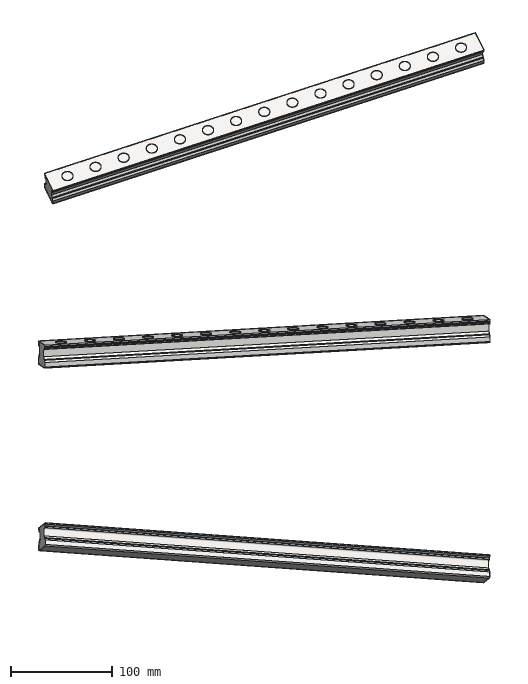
import cadquery as cq

length = 460.0
width = 23.0
height = 23.5

tip_half_width = width / 2
shoulder_half_width = 10.0
web_half_width = 7.5

foot_chamfer = 1.5
foot_side_top = 6.0
web_bottom = 11.0
head_underside = 19.0
head_tip_level = 22.0
head_root_radius = 1.5

groove_half_height = 0.5
groove_depth = 1.0
foot_groove_level = 8.5
head_groove_level = 20.5
foot_groove_half_width = web_half_width + web_bottom - (foot_groove_level + groove_half_height)

recess_count = 15
recess_diameter = 11.0
recess_depth = 0.5
end_margin_in_pitches = 2 / 3
recess_pitch = length / (recess_count - 1 + 2 * end_margin_in_pitches)


def groove(mouth_half_width, level):
    """Points of a V-groove, from its lower edge to its upper edge."""
    return [
        (mouth_half_width, level - groove_half_height),
        (mouth_half_width - groove_depth, level),
        (mouth_half_width, level + groove_half_height),
    ]


def make_rail():
    """Extrude one half of the section along Y and mirror it about the centre plane."""
    foot_points = [
        (0, 0),
        (tip_half_width - foot_chamfer, 0),
        (tip_half_width, foot_chamfer),
        (tip_half_width, foot_side_top),
        *groove(foot_groove_half_width, foot_groove_level),
        (web_half_width, web_bottom),
        (web_half_width, head_underside - head_root_radius),
    ]
    head_points = [
        (shoulder_half_width, head_underside),
        *groove(shoulder_half_width, head_groove_level),
        (tip_half_width, head_tip_level),
        (tip_half_width, height),
        (0, height),
    ]
    half_section = (
        cq.Workplane("XZ")
        .polyline(foot_points)
        .tangentArcPoint((web_half_width + head_root_radius, head_underside), relative=False)
        .polyline(head_points, includeCurrent=True)
        .close()
    )
    half_rail = half_section.extrude(length / 2, both=True)
    rail = half_rail.union(half_rail.mirror("YZ")).clean()
    return rail.translate((0, 0, -height / 2))


def cut_recesses(rail):
    """Cut the evenly spaced recesses into the top face."""
    return (
        rail.faces(">Z")
        .workplane(origin=(0, 0, height / 2))
        .rarray(4.5, recess_pitch, 1, recess_count)
        .hole(recess_diameter, recess_depth)
    )


result = cut_recesses(make_rail())